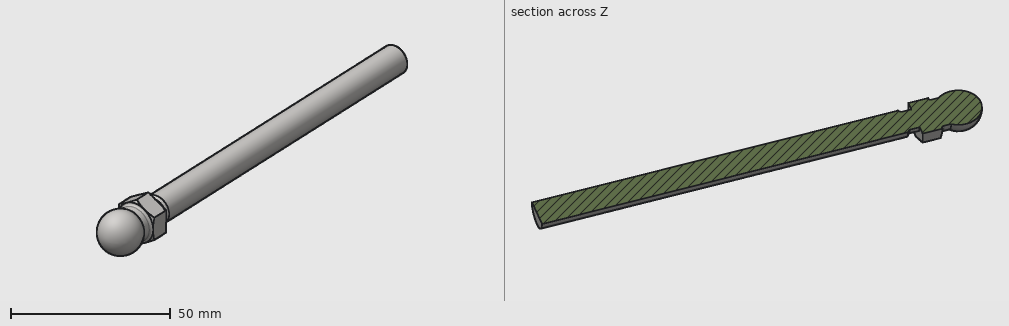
import cadquery as cq
import math

length = 147.0
ball_radius = 7.5
collar_radius = 6.0
rod_radius = 5.0
relief_radius = 4.1
hex_across_corners = 16.2
hex_front = 15.1
collar_fillet = 0.81
hex_back = 21.8
rod_start = 25.0
hex_chamfer_angle = 30.0

hex_corner_radius = hex_across_corners / 2
hex_face_radius = hex_corner_radius * math.cos(math.pi / 6)
hex_chamfer_depth = (hex_corner_radius - hex_face_radius) * math.tan(math.radians(hex_chamfer_angle))
rod_chamfer = rod_radius - relief_radius
ball_end = ball_radius + math.sqrt(ball_radius**2 - collar_radius**2)


def make_turned_body():
    """Ball, filleted collar, relief groove and rod revolved about Y."""
    profile = (
        cq.Workplane("XY")
        .moveTo(0, 0)
        .threePointArc((ball_radius, ball_radius), (collar_radius, ball_end))
        .lineTo(collar_radius, hex_front - collar_fillet)
        .radiusArc((collar_radius + collar_fillet, hex_front), collar_fillet)
        .lineTo(collar_radius + collar_fillet, hex_back)
        .lineTo(relief_radius, hex_back)
        .lineTo(relief_radius, rod_start)
        .lineTo(rod_radius, rod_start + rod_chamfer)
        .lineTo(rod_radius, length)
        .lineTo(0, length)
        .close()
    )
    return profile.revolve(360, (0, 0, 0), (0, 1, 0))


def make_hexagon():
    """Hexagon with corners at +Z and -Z, its front corners turned to a cone."""
    prism = (
        cq.Workplane("XZ", origin=(0, hex_back, 0))
        .transformed(rotate=(0, 0, 90))
        .polygon(6, 2 * hex_corner_radius)
        .extrude(hex_back - hex_front)
    )
    cone_envelope = (
        cq.Workplane("XY")
        .moveTo(0, hex_front)
        .lineTo(hex_face_radius, hex_front)
        .lineTo(hex_corner_radius, hex_front + hex_chamfer_depth)
        .lineTo(hex_corner_radius, hex_back)
        .lineTo(0, hex_back)
        .close()
        .revolve(360, (0, 0, 0), (0, 1, 0))
    )
    return prism.intersect(cone_envelope)


result = make_turned_body().union(make_hexagon())